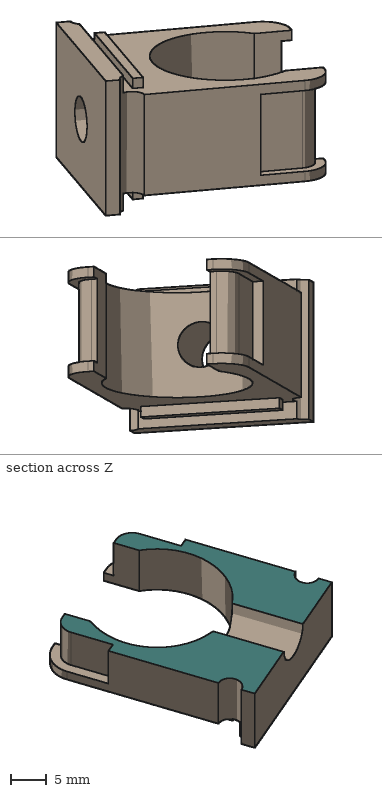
import cadquery as cq

width = 26.5
length = 33.0
plate_height = 20.0
plate_thickness = 3.0

body_height = 15.0
tip_radius = 4.0

bore_diameter = 21.2
bore_center_y = 21.0
slot_width = 16.7

flange_thickness = 1.5
pocket_depth = 1.5
pocket_length = 10.4

groove_radius = 1.75
groove_center_y = 3.85

rail_length = 20.5
rail_width = 1.5
rail_height = 1.5
rail_start_y = 4.75

hole_diameter = 6.5


def box_along_y(x_size, y_start, y_end, z_size):
    """Box centred on X and Z, reaching from y_start to y_end."""
    return (
        cq.Workplane("XY")
        .box(x_size, y_end - y_start, z_size, centered=(True, False, True))
        .translate((0, y_start, 0))
    )


def rounded_block(x_size, y_start, y_end, z_size, radius):
    """Box along Y with its two vertical edges at y_end rounded."""
    block = box_along_y(x_size, y_start, y_end, z_size)
    return block.edges("|Z and >Y").fillet(radius)


def upright_cylinder(x, y, radius, height):
    """Cylinder along Z, centred on Z = 0."""
    return cq.Workplane("XY").center(x, y).circle(radius).extrude(height / 2, both=True)


def make_plate():
    return box_along_y(width, 0, plate_thickness, plate_height)


def make_body():
    return rounded_block(width, 0, length, body_height, tip_radius)


def make_rails():
    rail_end_y = rail_start_y + rail_width
    return box_along_y(rail_length, rail_start_y, rail_end_y, body_height + 2 * rail_height)


def make_arm_pockets():
    """Material between the flanges that lies outside the inset web of the arms."""
    pocket_start_y = length - pocket_length
    pocket_height = body_height - 2 * flange_thickness
    web = rounded_block(
        width - 2 * pocket_depth,
        pocket_start_y,
        length - pocket_depth,
        pocket_height,
        tip_radius - pocket_depth,
    )
    return box_along_y(width, pocket_start_y, length, pocket_height).cut(web)


def make_pipe_seat():
    bore = upright_cylinder(0, bore_center_y, bore_diameter / 2, body_height)
    slot = box_along_y(slot_width, bore_center_y, length, body_height)
    return bore.union(slot)


def make_screw_hole():
    hole = cq.Workplane("XZ").circle(hole_diameter / 2)
    return hole.extrude(-bore_center_y)


result = make_plate().union(make_body()).union(make_rails())
result = result.cut(make_arm_pockets())
result = result.cut(make_pipe_seat())
for side in (-1, 1):
    groove = upright_cylinder(side * width / 2, groove_center_y, groove_radius, plate_height)
    result = result.cut(groove)
result = result.cut(make_screw_hole())